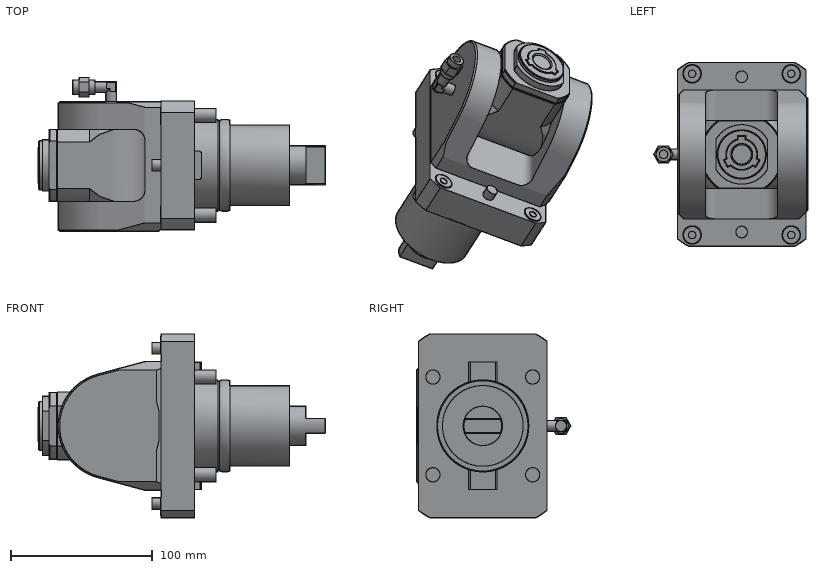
import cadquery as cq
import math


plate_thickness = 23.5
plate_width = 91.0
plate_height = 130.0
plate_corner_diameter = 150.0
plate_front = -plate_thickness

housing_top = 45.5
housing_left = 45.0
housing_right = -46.7
housing_shoulder_x = -35.0
swivel_x = -58.4
cheek_radius = 37.9
cheek_edge_chamfer = 1.1
left_corner_y = 41.0
right_corner_y = -40.6
foot_chamfer_length = 3.5
foot_chamfer_depth = 1.2
foot_pad_x = -25.0
foot_pad_inner_half = 10.0
foot_pad_outer_half = 18.0
window_half_width = 25.4
window_end_x = -35.0
window_corner_radius = 8.0

head_half_height = 24.0
head_front_x = -96.9
head_flange_x = -102.6
head_flange_half_height = 23.6
head_flange_end_x = -97.6
head_flange_bevel = 0.6
head_neck_inset = 0.5
head_turned_radius = 29.1
runout_start_x = -74.0
runout_middle_x = -67.1
runout_middle_radius = 32.4
runout_end_x = -57.0
nut_radius = 21.0
nut_half_width = 18.2
nut_front_x = -107.5
cap_radius = 17.4
cap_front_x = -110.0
cap_chamfer = 0.6
spline_front_x = -110.6
spline_radius = 11.2
spline_tooth_radius = 13.2
spline_tooth_width = 6.0
spline_tooth_count = 3
spline_chamfer = 0.5
dimple_outer_radius = 7.7
dimple_inner_radius = 6.8
dimple_depth = 0.9

shank_radius = 32.5
shank_shoulder_x = 16.4
groove_radius = 31.5
ring_start_x = 17.5
ring_end_x = 25.0
ring_crown_length = 2.7
ring_crown_drop = 0.8
ring_taper_length = 1.9
ring_taper_drop = 0.6
body_radius = 28.5
body_end_x = 67.1
drive_radius = 13.9
drive_shoulder_x = 78.7
tang_end_x = 92.56
tang_thickness = 10.5
tang_chamfer = 0.6

screw_y = 35.0
screw_z = 56.9
screw_head_radius = 6.5
screw_head_rise = 0.6
screw_head_chamfer = 0.4
screw_socket_radius = 2.6
screw_socket_depth = 0.5
pin_z = 54.8
pin_radius = 4.1
pin_length = 6.6
stud_y = 35.2
stud_z = 34.5
stud_radius = 5.0
stud_length = 15.2
key_width = 20.0
key_top = 45.0
key_bottom = 30.0
key_length = 4.9
key_chamfer = 1.2

elbow_x = -58.9
elbow_y = 55.2
pipe_radius = 3.9
collar_start_x = -86.0
collar_end_x = -70.3
collar_radius = 5.2
hex_start_x = -81.5
hex_end_x = -74.5
hex_corner_diameter = 13.94
fitting_bore_radius = 3.0
fitting_bore_depth = 8.0
elbow_block_half = 3.2
elbow_block_notch = 2.3


def rod(radius, x_start, x_end, y=0.0, z=0.0):
    """Cylinder along X."""
    plane = cq.Workplane("YZ", origin=(x_start, y, z))
    return plane.circle(radius).extrude(x_end - x_start)


def slab(x_start, x_end, y_start, y_end, z_start, z_end):
    """Box given by its limits."""
    size = (x_end - x_start, y_end - y_start, z_end - z_start)
    return cq.Workplane("XY").box(*size, centered=False).translate((x_start, y_start, z_start))


def prism_along_y(sketch, y_start, y_end):
    """Extrude an XZ sketch between two Y positions."""
    return sketch.extrude(y_start - y_end).translate((0, y_start, 0))


def make_plate():
    blank = slab(plate_front, 0, -plate_width / 2, plate_width / 2, -plate_height / 2, plate_height / 2)
    return blank.intersect(rod(plate_corner_diameter / 2, plate_front, 0))


def cheek_outline():
    """Rounded nose joined by tangent slopes to the flat top and bottom."""
    reach_x = housing_shoulder_x - swivel_x
    reach = math.hypot(reach_x, housing_top)
    tangent_angle = math.atan2(housing_top, reach_x) + math.acos(cheek_radius / reach)
    tangent_x = swivel_x + cheek_radius * math.cos(tangent_angle)
    tangent_z = cheek_radius * math.sin(tangent_angle)
    return (
        cq.Workplane("XZ")
        .moveTo(plate_front, housing_top)
        .lineTo(housing_shoulder_x, housing_top)
        .lineTo(tangent_x, tangent_z)
        .threePointArc((swivel_x - cheek_radius, 0), (tangent_x, -tangent_z))
        .lineTo(housing_shoulder_x, -housing_top)
        .lineTo(plate_front, -housing_top)
        .close()
    )


def corner_envelope():
    """Cross-section with 45 degree corners that bounds the housing along X."""
    left_z = housing_top - (housing_left - left_corner_y)
    right_z = housing_top - (right_corner_y - housing_right)
    points = [
        (left_corner_y, housing_top),
        (housing_left, left_z),
        (housing_left, -left_z),
        (left_corner_y, -housing_top),
        (right_corner_y, -housing_top),
        (housing_right, -right_z),
        (housing_right, right_z),
        (right_corner_y, housing_top),
    ]
    x_start = swivel_x - cheek_radius
    section = cq.Workplane("YZ", origin=(x_start, 0, 0)).polyline(points).close()
    return section.extrude(plate_front - x_start)


def make_foot_relief():
    """Wedge removed beside the plate, leaving a small pad at mid height."""
    foot_x = plate_front - foot_chamfer_length
    wedge = (
        cq.Workplane("XY")
        .polyline([
            (foot_x, housing_right),
            (plate_front, housing_right + foot_chamfer_depth),
            (plate_front, housing_right),
        ])
        .close()
        .extrude(housing_top, both=True)
    )
    pad = cq.Workplane("XZ").polyline([
        (foot_x, foot_pad_outer_half),
        (foot_pad_x, foot_pad_inner_half),
        (foot_pad_x, -foot_pad_inner_half),
        (foot_x, -foot_pad_outer_half),
    ]).close()
    return wedge.cut(prism_along_y(pad, housing_right, housing_right + foot_chamfer_depth))


def make_housing():
    body = prism_along_y(cheek_outline(), housing_right, housing_left)
    body = body.edges("(<Y or >Y) and (not >X)").chamfer(cheek_edge_chamfer)
    body = body.intersect(corner_envelope()).cut(make_foot_relief())
    window = slab(
        2 * swivel_x, window_end_x,
        -window_half_width, window_half_width,
        -housing_top, housing_top,
    )
    return body.cut(window.edges("|Z and >X").fillet(window_corner_radius))


def head_turning():
    """Turned envelope that rounds the head's long edges and flares out in two cones."""
    flare_radius = math.hypot(window_half_width, head_half_height)
    back_x = swivel_x + head_half_height
    profile = cq.Workplane("XY").polyline([
        (head_front_x, 0),
        (head_front_x, head_turned_radius),
        (runout_start_x, head_turned_radius),
        (runout_middle_x, runout_middle_radius),
        (runout_end_x, flare_radius),
        (back_x, flare_radius),
        (back_x, 0),
    ])
    return profile.close().revolve(360, (0, 0, 0), (1, 0, 0))


def make_head_flange():
    """Front plate of the head, its corners turned round and bevelled in front."""
    width = window_half_width
    height = head_flange_half_height
    flange = slab(head_flange_x, head_flange_end_x, -width, width, -height, height)
    disc = rod(head_turned_radius, head_flange_x, head_flange_end_x)
    return flange.intersect(disc.faces("<X").edges().chamfer(head_flange_bevel))


def make_head_neck():
    """Narrow step between the flange and the block."""
    width = window_half_width - head_neck_inset
    height = head_flange_half_height - head_neck_inset
    neck = slab(head_flange_end_x, head_front_x, -width, width, -height, height)
    return neck.intersect(rod(head_turned_radius - head_neck_inset, head_flange_end_x, head_front_x))


def make_head():
    """Swivelling block with a round back, joined to its flange by the neck."""
    width = window_half_width
    height = head_half_height
    block = slab(head_front_x, swivel_x, -width, width, -height, height)
    barrel = prism_along_y(cq.Workplane("XZ").center(swivel_x, 0).circle(height), -width, width)
    block = block.union(barrel).intersect(head_turning())
    return block.union(make_head_neck()).union(make_head_flange())


def make_nose():
    nut = rod(nut_radius, nut_front_x, head_flange_x)
    nut = nut.intersect(slab(
        nut_front_x, head_flange_x,
        -nut_half_width, nut_half_width,
        -nut_radius, nut_radius,
    ))
    cap = rod(cap_radius, cap_front_x, nut_front_x).faces("<X").edges().chamfer(cap_chamfer)
    spline = rod(spline_radius, spline_front_x, cap_front_x)
    tooth = slab(
        spline_front_x, cap_front_x,
        -spline_tooth_width / 2, spline_tooth_width / 2,
        0, spline_tooth_radius,
    )
    for index in range(spline_tooth_count):
        angle = index * 360 / spline_tooth_count
        spline = spline.union(tooth.rotate((0, 0, 0), (1, 0, 0), angle))
    spline = spline.faces("<X").edges().chamfer(spline_chamfer)
    dimple = cq.Solid.makeCone(
        dimple_outer_radius, dimple_inner_radius, dimple_depth,
        cq.Vector(spline_front_x, 0, 0), cq.Vector(1, 0, 0),
    )
    return nut.union(cap).union(spline).cut(cq.Workplane(dimple))


def make_ring():
    """Raised ring on the shank, crowned at its start and tapered at its end."""
    crown_end_x = ring_start_x + ring_crown_length
    profile = (
        cq.Workplane("XY")
        .moveTo(ring_start_x, 0)
        .lineTo(ring_start_x, shank_radius - ring_crown_drop)
        .threePointArc(
            (ring_start_x + ring_crown_length / 2, shank_radius - ring_crown_drop / 4),
            (crown_end_x, shank_radius),
        )
        .lineTo(ring_end_x - ring_taper_length, shank_radius)
        .lineTo(ring_end_x, shank_radius - ring_taper_drop)
        .lineTo(ring_end_x, 0)
        .close()
    )
    return profile.revolve(360, (0, 0, 0), (1, 0, 0))


def make_shank():
    shoulder = rod(shank_radius, 0, shank_shoulder_x)
    groove = rod(groove_radius, shank_shoulder_x, ring_start_x)
    body = rod(body_radius, ring_end_x, body_end_x)
    drive = rod(drive_radius, body_end_x, drive_shoulder_x)
    tang = rod(drive_radius, drive_shoulder_x, tang_end_x).intersect(slab(
        drive_shoulder_x, tang_end_x,
        -drive_radius, drive_radius,
        -tang_thickness / 2, tang_thickness / 2,
    ))
    tang = tang.faces(">X").edges().chamfer(tang_chamfer)
    return shoulder.union(groove).union(make_ring()).union(body).union(drive).union(tang)


def make_keys():
    """Pair of locating keys above and below the shank."""
    upper = slab(0, key_length, -key_width / 2, key_width / 2, key_bottom, key_top)
    upper = upper.faces(">X").edges("|Z").chamfer(key_chamfer)
    return upper.union(upper.mirror("XY"))


def add_plate_hardware(part):
    for side_z in (-1, 1):
        pin = rod(pin_radius, plate_front - pin_length, plate_front, 0, side_z * pin_z)
        part = part.union(pin)
        for side_y in (-1, 1):
            y = side_y * screw_y
            z = side_z * screw_z
            head_x = plate_front - screw_head_rise
            head = rod(screw_head_radius, head_x, plate_front, y, z)
            head = head.faces("<X").edges().chamfer(screw_head_chamfer)
            socket = rod(screw_socket_radius, head_x, head_x + screw_socket_depth, y, z)
            stud = rod(stud_radius, 0, stud_length, side_y * stud_y, side_z * stud_z)
            part = part.union(head).cut(socket).union(stud)
    return part


def make_fitting():
    """Elbow rising from the +Y cheek, turning toward -X into a hexagon nut."""
    riser_end = elbow_y + pipe_radius
    riser_plan = cq.Workplane("XZ").center(elbow_x, 0).circle(pipe_radius)
    riser = prism_along_y(riser_plan, housing_left, riser_end)
    pipe = rod(pipe_radius, collar_end_x, elbow_x + pipe_radius, elbow_y)
    block = slab(
        elbow_x - elbow_block_half, elbow_x + elbow_block_half,
        elbow_y - elbow_block_half, elbow_y + elbow_block_half,
        -pipe_radius, pipe_radius,
    )
    notch_x = elbow_x - elbow_block_half
    notch_y = elbow_y - elbow_block_half
    block = block.cut(slab(
        notch_x, notch_x + elbow_block_notch,
        notch_y, notch_y + elbow_block_notch,
        -pipe_radius, pipe_radius,
    ))
    collar = rod(collar_radius, collar_start_x, collar_end_x, elbow_y)
    hexagon = cq.Workplane("YZ", origin=(hex_start_x, elbow_y, 0)).polygon(6, hex_corner_diameter)
    nut = hexagon.extrude(hex_end_x - hex_start_x)
    bore = rod(fitting_bore_radius, collar_start_x, collar_start_x + fitting_bore_depth, elbow_y)
    return riser.union(pipe).union(block).union(collar).union(nut).cut(bore)


result = make_plate().union(make_housing()).union(make_head()).union(make_nose())
result = result.union(make_shank()).union(make_keys())
result = add_plate_hardware(result).union(make_fitting())